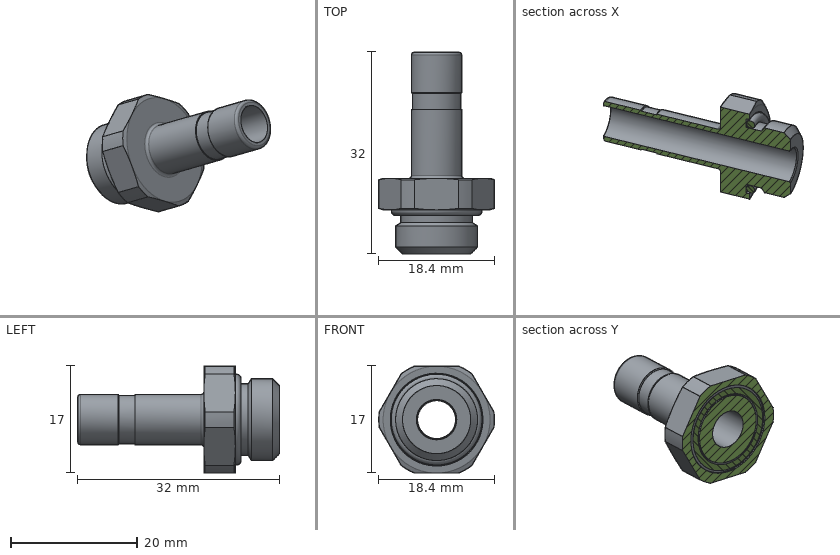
import cadquery as cq
import math

length = 32.0

bore_radius = 3.0
bore_chamfer = 0.2

thread_radius = 6.5
thread_lead_chamfer = 1.1
thread_back_y = 4.45
thread_back_chamfer_length = 0.5
neck_radius = 5.73

hex_across_flats = 17.0
hex_corner_radius = 9.2
hex_front_y = 7.0
hex_back_y = 12.0
hex_face_radius = 8.48
hex_chamfer_length = 0.22

ring_outer_radius = 7.2
ring_front_y = 6.08
ring_section_radius = (ring_outer_radius - neck_radius) / 2
ring_centre_radius = neck_radius + ring_section_radius
ring_centre_y = ring_front_y + ring_section_radius
recess_radius = 7.35
recess_floor_y = ring_front_y + 2 * ring_section_radius

tube_radius = 4.0
tube_end_fillet = 0.48
root_fillet = 0.45
groove_radius = 3.85
groove_start_y = 22.88
groove_end_y = 25.6
groove_edge = tube_radius - groove_radius


def revolve_about_y(profile):
    """Turn a closed XY profile a full revolution around the Y axis."""
    return profile.revolve(360, (0, 0, 0), (0, 1, 0))


def make_hexagon():
    """Hexagonal prism with rounded corners and conical chamfers on both faces."""
    across_corners = hex_across_flats / math.cos(math.pi / 6)
    prism = (
        cq.Workplane("XZ", origin=(0, hex_back_y, 0))
        .polygon(6, across_corners)
        .extrude(hex_back_y - hex_front_y)
    )
    envelope = revolve_about_y(
        cq.Workplane("XY")
        .moveTo(0, hex_front_y)
        .lineTo(hex_face_radius, hex_front_y)
        .lineTo(hex_corner_radius, hex_front_y + hex_chamfer_length)
        .lineTo(hex_corner_radius, hex_back_y - hex_chamfer_length)
        .lineTo(hex_face_radius, hex_back_y)
        .lineTo(0, hex_back_y)
        .close()
    )
    recess = (
        cq.Workplane("XZ", origin=(0, recess_floor_y, 0))
        .circle(recess_radius)
        .extrude(recess_floor_y - hex_front_y)
    )
    return prism.intersect(envelope).cut(recess)


def make_spigot():
    """Threaded end with its lead chamfer and the narrower neck behind it."""
    return revolve_about_y(
        cq.Workplane("XY")
        .moveTo(0, 0)
        .lineTo(thread_radius - thread_lead_chamfer, 0)
        .lineTo(thread_radius, thread_lead_chamfer)
        .lineTo(thread_radius, thread_back_y)
        .lineTo(neck_radius, thread_back_y + thread_back_chamfer_length)
        .lineTo(neck_radius, recess_floor_y)
        .lineTo(0, recess_floor_y)
        .close()
    )


def make_tube():
    """Tube with a flared root, a shallow groove and a rounded free end."""
    return revolve_about_y(
        cq.Workplane("XY")
        .moveTo(0, recess_floor_y)
        .lineTo(tube_radius, recess_floor_y)
        .lineTo(tube_radius + root_fillet, hex_back_y)
        .radiusArc((tube_radius, hex_back_y + root_fillet), root_fillet)
        .lineTo(tube_radius, groove_start_y)
        .lineTo(groove_radius, groove_start_y)
        .lineTo(groove_radius, groove_end_y - groove_edge)
        .lineTo(tube_radius, groove_end_y)
        .lineTo(tube_radius, length - tube_end_fillet)
        .radiusArc((tube_radius - tube_end_fillet, length), -tube_end_fillet)
        .lineTo(0, length)
        .close()
    )


def make_bore():
    """Through hole, chamfered at the threaded end."""
    return revolve_about_y(
        cq.Workplane("XY")
        .moveTo(0, 0)
        .lineTo(bore_radius + bore_chamfer, 0)
        .lineTo(bore_radius, bore_chamfer)
        .lineTo(bore_radius, length)
        .lineTo(0, length)
        .close()
    )


def make_fitting():
    """One-piece fitting: threaded spigot, hexagonal collar and tube."""
    return make_hexagon().union(make_spigot()).union(make_tube()).cut(make_bore())


def make_sealing_ring():
    """Round-section ring seated on the neck and on the recess floor."""
    return revolve_about_y(
        cq.Workplane("XY")
        .moveTo(ring_centre_radius, ring_centre_y)
        .circle(ring_section_radius)
    )


fitting = make_fitting()
sealing_ring = make_sealing_ring()

result = cq.Compound.makeCompound([fitting.val(), sealing_ring.val()])